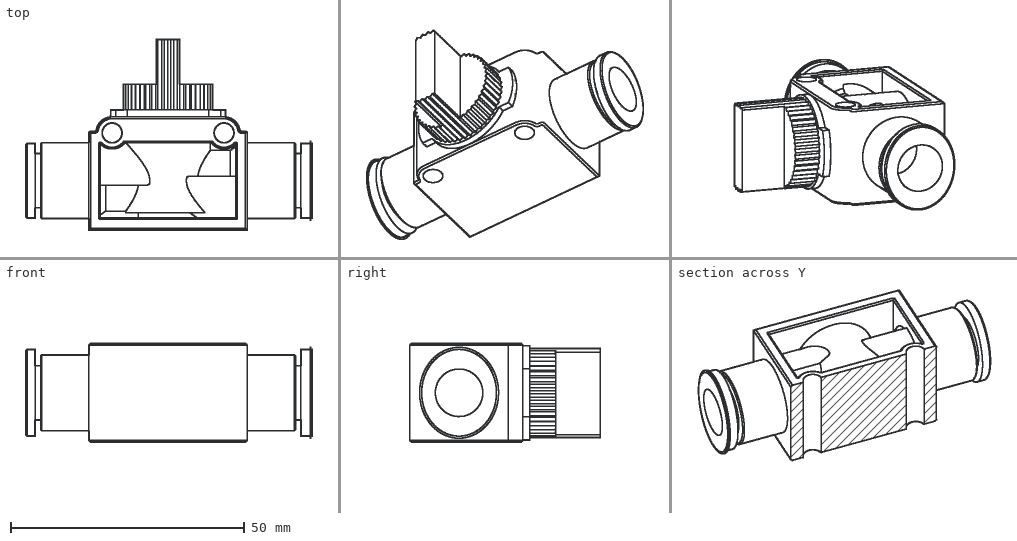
import cadquery as cq
import math


body_length = 34.0
body_width = 21.2
edge_break = 0.4
ear_x = 12.0
ear_y = 10.25
ear_radius = 3.45
ear_hole_diameter = 4.2
ear_corner_radius = 0.4
shoulder_corner_radius = 0.45

pocket_half_length = 14.5
pocket_y_min = -7.95
pocket_y_max = 8.15
pocket_floor_z = 0.0
pocket_mouth_break = 0.35
pocket_mouth_angle = 45

housing_radius = 9.05
housing_y_min = -6.85
pivot_radius = 6.4
port_diameter = 16.3
half_shell_edge_y = 0.97
half_shell_edge_radius = 0.42
inner_pipe_radius = 6.5
inner_pipe_foot_x = 13.35
inner_pipe_foot_radius = 7.3

port_end_x = 27.35
port_edge_break = 0.3
neck_diameter = 11.7
collar_start_x = 28.5
collar_size_y = 16.05
collar_size_z = 18.6
left_collar_end_x = 30.5
right_collar_end_x = 30.9
collar_edge_break = 0.3
collar_rim_overhang = 0.45
collar_rim_thickness = 0.15
collar_rim_x = 30.5
bore_diameter = 10.2
bore_depth = 16.0

flange_top_y = 15.2
flange_radius = 10.15
flange_ear_end_radius = 12.35
flange_ear_half_width = 5.1
knob_disc_top_y = 20.7
knob_top_y = 30.3
knob_radius = 9.6
knob_root_radius = 9.05
knob_teeth = 43
first_tooth_angle = 3.7
grip_thickness = 5.0

port_radius = port_diameter / 2
body_half = body_width / 2
ear_top_y = ear_y + ear_radius
pocket_depth = body_half - pocket_floor_z

LEFT = -1
RIGHT = 1


def rod(radius, start, end, axis):
    """Cylinder along the axis 'X' or 'Y', between two coordinates on that axis."""
    if axis == "X":
        plane = cq.Workplane("YZ", origin=(start, 0, 0))
        return plane.circle(radius).extrude(end - start)
    plane = cq.Workplane("XZ", origin=(0, start, 0))
    return plane.circle(radius).extrude(start - end)


def ear_cylinders(radius, bottom_z, height):
    """Two upright cylinders on the screw ear centres."""
    plane = cq.Workplane("XY", origin=(0, 0, bottom_z))
    return plane.pushPoints([(-ear_x, ear_y), (ear_x, ear_y)]).circle(radius).extrude(height)


def make_body():
    """Square block with two screw ears and the bridge between them, hollowed by the pocket."""
    block = (
        cq.Workplane("XY")
        .box(body_length, body_width, body_width)
        .edges("|Z and >Y")
        .fillet(shoulder_corner_radius)
    )
    bridge = (
        cq.Workplane("XY")
        .box(2 * ear_x, ear_top_y, body_width, centered=(True, False, True))
    )
    block = block.union(bridge).union(ear_cylinders(ear_radius, -body_half, body_width))
    shoulder_x = ear_x + math.sqrt(ear_radius**2 - (body_half - ear_y) ** 2)
    for side in (LEFT, RIGHT):
        corner = cq.selectors.NearestToPointSelector((side * shoulder_x, body_half, 0))
        block = block.edges("|Z").edges(corner).fillet(ear_corner_radius)
    block = block.faces("<Z or >Z").edges().chamfer(edge_break)
    return block.cut(make_pocket())


def make_pocket():
    """Pocket void: a rectangle that leaves room for the ears and widens at its mouth."""
    pocket = (
        cq.Workplane("XY", origin=(0, 0, pocket_floor_z))
        .moveTo(-pocket_half_length, pocket_y_min)
        .lineTo(pocket_half_length, pocket_y_min)
        .lineTo(pocket_half_length, pocket_y_max)
        .lineTo(-pocket_half_length, pocket_y_max)
        .close()
        .extrude(pocket_depth)
        .cut(ear_cylinders(ear_radius, pocket_floor_z, pocket_depth))
    )
    mouth = pocket.faces(">Z").wires().toPending().offset2D(pocket_mouth_break)
    mouth = mouth.extrude(-pocket_mouth_break, taper=pocket_mouth_angle)
    return pocket.union(mouth)


def make_half_shell(side):
    """Port-sized half pipe on one side: the +Y half on the left, the -Y half on the right."""
    shell = rod(port_radius, 0, side * pocket_half_length, "X")
    keep = (
        cq.Workplane("XY", origin=(0, side * (half_shell_edge_y - body_half), 0))
        .box(body_length, body_width, body_width)
    )
    shell = shell.intersect(keep)
    return shell.edges("|X").edges(">Z").fillet(half_shell_edge_radius)


def make_inner_pipe(side):
    """Slimmer full pipe along the port axis, flared where it meets the pocket wall."""
    return (
        cq.Workplane("XY")
        .lineTo(0, inner_pipe_radius)
        .lineTo(side * inner_pipe_foot_x, inner_pipe_radius)
        .lineTo(side * pocket_half_length, inner_pipe_foot_radius)
        .lineTo(side * pocket_half_length, 0)
        .close()
        .revolve(360, (0, 0, 0), (1, 0, 0))
    )


def make_housing():
    """Plug housing along Y, crossed by the pipes that lead to the ports."""
    housing = rod(housing_radius, housing_y_min, pocket_y_max, "Y")
    housing = housing.union(rod(pivot_radius, pocket_y_min, 0, "Y"))
    for side in (LEFT, RIGHT):
        housing = housing.union(make_half_shell(side)).union(make_inner_pipe(side))
    return housing


def make_port(side, collar_end_x):
    """Sleeve, neck and elliptical release collar at one end of the body."""
    wall_x = pocket_half_length
    sleeve = rod(port_radius, side * wall_x, side * port_end_x, "X")
    outer_face = ">X" if side == RIGHT else "<X"
    sleeve = sleeve.faces(outer_face).chamfer(port_edge_break)
    neck = rod(neck_diameter / 2, side * wall_x, side * collar_start_x, "X")
    collar = (
        cq.Workplane("YZ", origin=(side * collar_start_x, 0, 0))
        .ellipse(collar_size_y / 2, collar_size_z / 2)
        .extrude(side * (collar_end_x - collar_start_x))
    )
    if side == LEFT:
        collar = collar.faces(outer_face).chamfer(collar_edge_break)
    return sleeve.union(neck).union(collar)


def make_collar_rim():
    """Thin elliptical flange near the outer end of the right collar."""
    return (
        cq.Workplane("YZ", origin=(collar_rim_x, 0, 0))
        .ellipse(collar_size_y / 2 + collar_rim_overhang, collar_size_z / 2 + collar_rim_overhang)
        .extrude(collar_rim_thickness)
    )


def make_bore(side, collar_end_x):
    """Blind tube bore from the outer face of the collar."""
    return rod(bore_diameter / 2, side * (collar_end_x - bore_depth), side * collar_end_x, "X")


def make_flange():
    """Round flange under the knob, with two wider ears whose ends follow a larger circle."""
    disc = rod(flange_radius, pocket_y_max, flange_top_y, "Y")
    band = cq.Workplane("XY").box(body_length, 2 * body_width, 2 * flange_ear_half_width)
    ears = rod(flange_ear_end_radius, pocket_y_max, flange_top_y, "Y").intersect(band)
    above_body = (
        cq.Workplane("XZ", origin=(0, ear_top_y, 0))
        .rect(body_length, body_width)
        .extrude(ear_top_y - flange_top_y)
    )
    return disc.union(ears).intersect(above_body)


def make_knob():
    """Serrated disc with a flat grip; its first tooth angle is measured from +Z toward +X."""
    step = math.pi / knob_teeth
    outline = []
    for i in range(2 * knob_teeth):
        radius = knob_radius if i % 2 == 0 else knob_root_radius
        angle = math.radians(first_tooth_angle) + i * step
        outline.append((radius * math.sin(angle), radius * math.cos(angle)))
    base = cq.Workplane("XZ", origin=(0, flange_top_y, 0)).polyline(outline).close()
    knob = base.extrude(flange_top_y - knob_top_y)
    side_width = knob_radius
    for side in (LEFT, RIGHT):
        beside_grip = (
            cq.Workplane("XZ", origin=(0, knob_disc_top_y, 0))
            .center(side * (grip_thickness + side_width) / 2, 0)
            .rect(side_width, 2 * flange_radius)
            .extrude(knob_disc_top_y - knob_top_y)
        )
        knob = knob.cut(beside_grip)
    return knob


result = make_body().union(make_housing()).union(make_collar_rim())
for port_side, port_collar_end in ((LEFT, left_collar_end_x), (RIGHT, right_collar_end_x)):
    result = result.union(make_port(port_side, port_collar_end))
    result = result.cut(make_bore(port_side, port_collar_end))
result = result.cut(ear_cylinders(ear_hole_diameter / 2, -body_half, body_width))
result = result.union(make_flange()).union(make_knob())